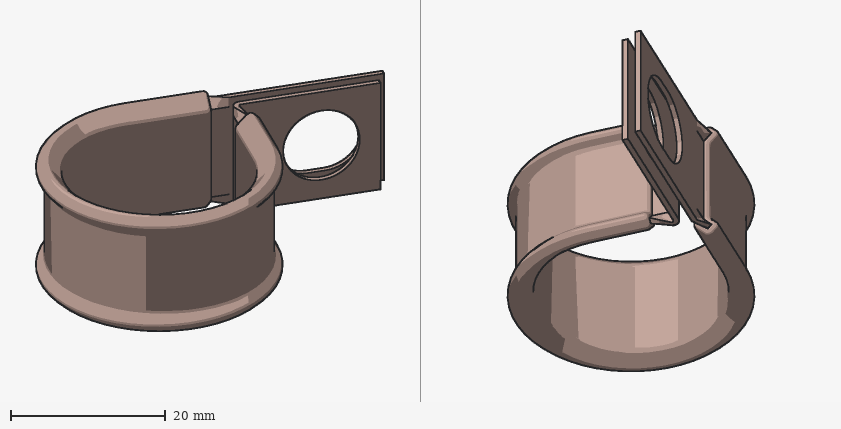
import cadquery as cq
import math

overall_width = 32.0
overall_height = 17.25
overall_depth = 50.5

ring_sweep = 270
inner_radius = 12.65
cover = 0.75
strap_thickness = 0.75
inner_bend_radius = 1.0
outer_bend_radius = 0.85
end_fillet = 0.6
long_limb = 11.05
short_limb = 8.2

tab_half_height = 8.0
flare_end = 13.5
tab_gap = 1.4
short_tab_setback = 1.15
tab_bend_radius = 0.35
hole_diameter = 10.35
slot_length = 12.75
hole_from_end = 9.15

outer_radius = overall_width / 2
strap_in = inner_radius + cover
strap_out = strap_in + strap_thickness
tab_end = overall_depth - outer_radius
hole_y = tab_end - hole_from_end
short_tab_x = -strap_in + tab_gap
fold_radius = tab_bend_radius + strap_thickness
flare_angle = math.radians(45)
bend_shift = math.tan(flare_angle / 2)

tip_out_r = outer_radius - cover
tip_in_z = overall_height / 2 - cover
tip_out_z = tip_in_z - strap_thickness * math.cos(flare_angle)
tip_in_r = tip_out_r - strap_thickness * math.sin(flare_angle)
bend_out_z = tip_out_z - (tip_out_r - strap_out)
bend_in_z = bend_out_z + strap_thickness * bend_shift


def mirrored(half):
    """Close a half outline of (radius, z) points with its reflection below z = 0."""
    return half + [(r, -z) for r, z in reversed(half)]


def flared_section():
    return mirrored([
        (strap_in, bend_in_z),
        (tip_in_r, tip_in_z),
        (tip_out_r, tip_out_z),
        (strap_out, bend_out_z),
    ])


def flat_section():
    return mirrored([
        (strap_in, bend_in_z),
        (strap_in, tab_half_height),
        (strap_out, tab_half_height),
        (strap_out, bend_out_z),
    ])


def rounded_outline(points, radii):
    """Closed XZ outline whose corners are replaced by tangent arcs."""
    arcs = []
    for i, (corner, radius) in enumerate(zip(points, radii)):
        corner = cq.Vector(*corner)
        before = (cq.Vector(*points[i - 1]) - corner).normalized()
        after = (cq.Vector(*points[(i + 1) % len(points)]) - corner).normalized()
        half_angle = before.getAngle(after) / 2
        reach = radius / math.tan(half_angle)
        middle_reach = radius / math.sin(half_angle) - radius
        arcs.append((
            (corner + before * reach).toTuple()[:2],
            (corner + (before + after).normalized() * middle_reach).toTuple()[:2],
            (corner + after * reach).toTuple()[:2],
        ))
    outline = cq.Workplane("XZ").moveTo(*arcs[0][2])
    for start, middle, end in arcs[1:] + arcs[:1]:
        outline = outline.lineTo(*start).threePointArc(middle, end)
    return outline.close()


def cushion_outline():
    """The flared strap section grown by the cover on every side."""
    wall_shift = cover * bend_shift
    tip_shift = cover * math.sqrt(2)
    half = [
        (inner_radius, bend_in_z + wall_shift),
        (tip_in_r, tip_in_z + tip_shift),
        (tip_out_r + tip_shift, tip_out_z),
        (strap_out + cover, bend_out_z - wall_shift),
    ]
    half_radii = [inner_bend_radius, cover, cover, outer_bend_radius]
    return rounded_outline(mirrored(half), half_radii + half_radii[::-1])


def turned(body, angle):
    return body.rotate((0, 0, 0), (0, 0, 1), angle)


def cushion():
    ring = cushion_outline().revolve(ring_sweep, (0, 0), (0, 1))
    long_side = cushion_outline().extrude(long_limb).faces("<Y").edges().fillet(end_fillet)
    short_side = cushion_outline().extrude(-short_limb).faces(">Y").edges().fillet(end_fillet)
    return turned(ring, 180).union(turned(long_side, 180)).union(turned(short_side, 90))


def flare(start, end):
    """Strap stretch along +Y on the +X side, from the flared section to the flat one."""
    return (
        cq.Workplane("XZ", origin=(0, start, 0))
        .polyline(flared_section()).close()
        .workplane(offset=start - end)
        .polyline(flat_section()).close()
        .loft(ruled=True)
    )


def long_tab():
    plate = cq.Workplane("XY").box(
        strap_thickness, tab_end - flare_end, 2 * tab_half_height, centered=(False, False, True)
    ).translate((-strap_out, flare_end, 0))
    slot = (
        cq.Workplane("YZ", origin=(-strap_out, hole_y, 0))
        .slot2D(slot_length, hole_diameter)
        .extrude(strap_thickness)
    )
    transition = flare(long_limb, flare_end).mirror("YZ")
    return plate.cut(slot).union(transition)


def short_tab():
    fold_x = short_tab_x + fold_radius
    fold_y = strap_in + fold_radius
    diagonal = math.sqrt(0.5)
    plate = (
        cq.Workplane("XY", origin=(0, 0, -tab_half_height))
        .moveTo(short_tab_x, tab_end - short_tab_setback)
        .lineTo(short_tab_x, fold_y)
        .threePointArc(
            (fold_x - fold_radius * diagonal, fold_y - fold_radius * diagonal),
            (fold_x, strap_in),
        )
        .lineTo(fold_x, strap_out)
        .threePointArc(
            (fold_x - tab_bend_radius * diagonal, fold_y - tab_bend_radius * diagonal),
            (short_tab_x + strap_thickness, fold_y),
        )
        .lineTo(short_tab_x + strap_thickness, tab_end - short_tab_setback)
        .close()
        .extrude(2 * tab_half_height)
    )
    hole = (
        cq.Workplane("YZ", origin=(short_tab_x, hole_y, 0))
        .circle(hole_diameter / 2)
        .extrude(strap_thickness)
    )
    transition = turned(flare(short_limb, -fold_x), 90)
    return plate.cut(hole).union(transition)


result = cushion().union(long_tab()).union(short_tab())